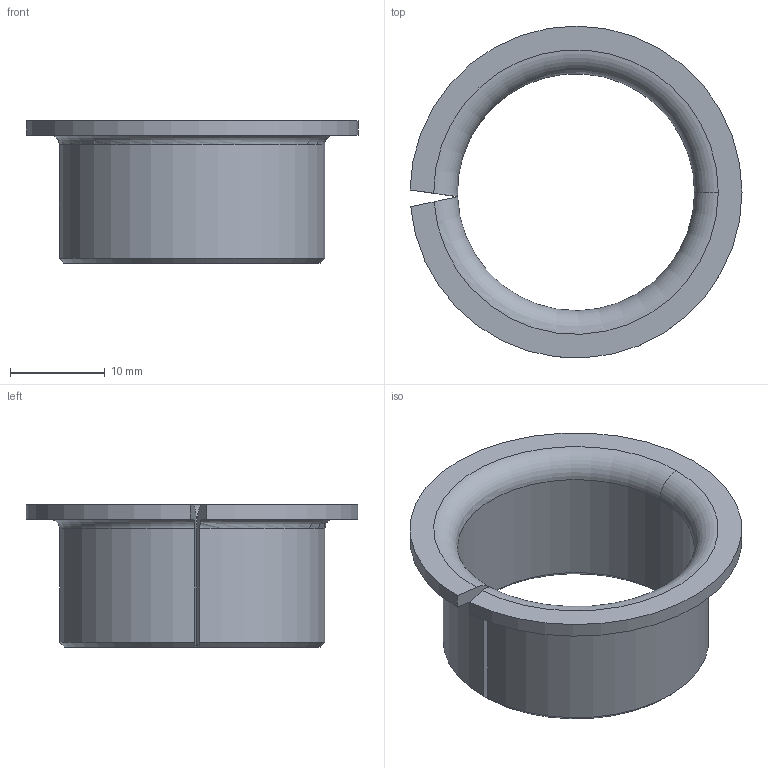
import cadquery as cq
import math

bore_radius = 12.5
wall_thickness = 1.5
flange_radius = 17.5
total_height = 15.0
outer_bend_radius = 1.0
foot_chamfer = 0.5

split_angle = 20.0
split_offset_angle = 2.2
bore_gap = 0.02

sleeve_radius = bore_radius + wall_thickness
flange_underside = total_height - wall_thickness
inner_bend_radius = outer_bend_radius + wall_thickness
bend_center_radius = sleeve_radius + outer_bend_radius
bend_center_height = flange_underside - outer_bend_radius


def bend_point(radius):
    """Middle of a quarter bend, as (radial distance, height)."""
    reach = radius * math.cos(math.radians(45))
    return (bend_center_radius - reach, bend_center_height + reach)


def make_flanged_sleeve():
    """Constant-thickness sleeve rolled outwards into a flat flange."""
    profile = (
        cq.Workplane("XZ")
        .moveTo(bore_radius, foot_chamfer)
        .lineTo(bore_radius + foot_chamfer, 0)
        .lineTo(sleeve_radius - foot_chamfer, 0)
        .lineTo(sleeve_radius, foot_chamfer)
        .lineTo(sleeve_radius, bend_center_height)
        .threePointArc(bend_point(outer_bend_radius), (bend_center_radius, flange_underside))
        .lineTo(flange_radius, flange_underside)
        .lineTo(flange_radius, total_height)
        .lineTo(bend_center_radius, total_height)
        .threePointArc(bend_point(inner_bend_radius), (bore_radius, bend_center_height))
        .close()
    )
    return profile.revolve(360, (0, 0, 0), (0, 1, 0))


def make_split():
    """Full-height wedge with its sharp edge just inside the bore."""
    half_slope = math.tan(math.radians(split_angle / 2))
    apex_radius = bore_radius - bore_gap / 2 / half_slope
    outer_reach = flange_radius + wall_thickness
    half_width = (outer_reach - apex_radius) * half_slope
    wedge = (
        cq.Workplane("XY")
        .moveTo(-apex_radius, 0)
        .lineTo(-outer_reach, half_width)
        .lineTo(-outer_reach, -half_width)
        .close()
        .extrude(total_height)
    )
    return wedge.rotate((0, 0, 0), (0, 0, 1), split_offset_angle)


result = make_flanged_sleeve().cut(make_split())